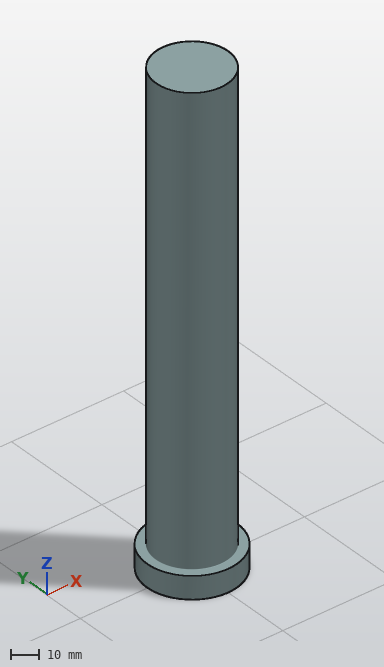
import cadquery as cq

total_length = 210.0
head_diameter = 40.0
head_height = 10.0
shank_diameter = 32.0
shank_length = total_length - head_height
neck_fillet_radius = 0.2


def make_head():
    """Flat disc at the foot of the pin, with its top face at Z = 0."""
    return cq.Workplane("XY").circle(head_diameter / 2).extrude(-head_height)


def make_shank():
    """Plain cylinder rising from the top face of the head."""
    return cq.Workplane("XY").circle(shank_diameter / 2).extrude(shank_length)


def round_neck(pin):
    """Small fillet in the corner where the shank meets the head."""
    smallest_circles = pin.edges("%CIRCLE").edges(cq.selectors.RadiusNthSelector(0))
    return smallest_circles.edges("<Z").fillet(neck_fillet_radius)


result = round_neck(make_head().union(make_shank()))